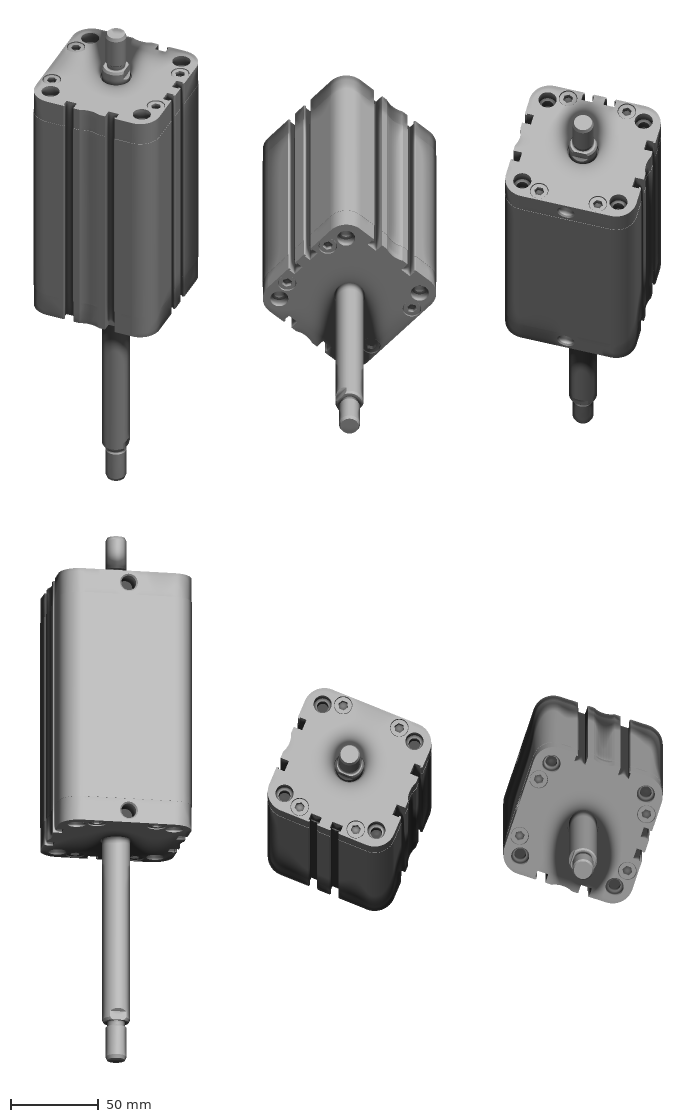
import cadquery as cq
import math

WIDTH = 77.0
CORNER_RADIUS = 12.0
HOUSING_LENGTH = 149.0
CAP_LENGTH = 14.0
CAP_INSET = 0.15
STROKE = 100.0

SLOT_FLOOR = 33.2
BARREL_END_SLOT_FLOOR = 33.8
SLOT_WIDTH = 6.5
LIP_THICKNESS = 1.25
LIP_OVERHANG = 0.9
LIP_CHAMFER = 0.5
SIDE_SLOT_OFFSET = 13.05
END_SLOT_OFFSET = 6.5
GROOVE_WIDTH = 12.1
GROOVE_DEPTH = 1.35

MOUNT_HOLE_OFFSET = 28.25
MOUNT_BORE_DIAMETER = 10.3
MOUNT_BORE_DEPTH = 6.2
MOUNT_THREAD_DIAMETER = 6.65
MOUNT_THREAD_DEPTH = 12.0
SCREW_X = 32.25
SCREW_Y = 17.25
SCREW_HEAD_DIAMETER = 9.8
SCREW_BORE_DIAMETER = 10.5
SCREW_BORE_DEPTH = 2.0
SCREW_HEAD_RECESS = 0.5
SOCKET_ACROSS_FLATS = 5.0
SOCKET_DEPTH = 3.0
SEAL_DIAMETER = 17.7
SEAL_DEPTH = 2.0
PORT_DIAMETER = 8.57
PORT_MOUTH_DIAMETER = 10.3
PORT_DEPTH = 12.0

ROD_DIAMETER = 16.0
SHOULDER_HEIGHT = 7.75
SHOULDER_CHAMFER_LENGTH = 1.5
SHOULDER_CHAMFER_DEPTH = 0.8
FLATS_WIDTH = 13.0
FLATS_LENGTH = 5.0
THREAD_DIAMETER = 12.0
THREAD_END_LENGTH = 22.25
NECK_DIAMETER = 10.3
RELIEF_LENGTH = 2.4
TIP_CHAMFER_LENGTH = 2.0


def slot_tool(length, depth, lip_on_left, lip_on_right):
    """Undercut slot with its mouth at Y = 0 and its floor on the -Y side, centred on X = 0."""
    lip_inner = SLOT_WIDTH / 2 - LIP_OVERHANG
    lip = (
        cq.Workplane()
        .moveTo(SLOT_WIDTH / 2, 0)
        .lineTo(lip_inner + LIP_CHAMFER, 0)
        .lineTo(lip_inner, -LIP_CHAMFER)
        .lineTo(lip_inner, -LIP_THICKNESS)
        .lineTo(SLOT_WIDTH / 2, -LIP_THICKNESS)
        .close()
        .extrude(length)
    )
    slot = cq.Workplane().center(0, -depth / 2).rect(SLOT_WIDTH, depth).extrude(length)
    if lip_on_left:
        slot = slot.cut(lip.mirror("YZ"))
    if lip_on_right:
        slot = slot.cut(lip)
    return slot


def profile_block(length, inset, end_slot_floor):
    """Slotted housing profile with its outer faces moved in by inset, standing on Z = 0."""
    half_width = WIDTH / 2 - inset
    block = cq.Workplane().rect(2 * half_width, 2 * half_width).extrude(length)
    block = block.edges("|Z").fillet(CORNER_RADIUS - inset)

    groove_radius = (GROOVE_WIDTH**2 / 4 + GROOVE_DEPTH**2) / (2 * GROOVE_DEPTH)
    groove_center_y = half_width - GROOVE_DEPTH + groove_radius
    groove = cq.Workplane().center(0, groove_center_y).circle(groove_radius).extrude(length)
    side_slot_depth = half_width - SLOT_FLOOR
    left_slot = slot_tool(length, side_slot_depth, True, False)
    left_slot = left_slot.translate((-SIDE_SLOT_OFFSET, half_width, 0))
    right_slot = left_slot.mirror("YZ")
    for cutter in (groove, left_slot, right_slot):
        block = block.cut(cutter).cut(cutter.mirror("XZ"))

    end_slot = slot_tool(length, half_width - end_slot_floor, True, True)
    end_slot = end_slot.rotate((0, 0, 0), (0, 0, 1), -90)
    for slot_y in (-END_SLOT_OFFSET, END_SLOT_OFFSET):
        block = block.cut(end_slot.translate((half_width, slot_y, 0)))
    return block


def make_end_cap():
    """End cap with its outer face up, at Z = CAP_LENGTH."""
    cap = profile_block(CAP_LENGTH, CAP_INSET, SLOT_FLOOR).faces(">Z").workplane(origin=(0, 0, CAP_LENGTH))
    cap = cap.cboreHole(ROD_DIAMETER, SEAL_DIAMETER, SEAL_DEPTH)

    cap = cap.faces(">Z").workplane(origin=(0, 0, CAP_LENGTH))
    cap = cap.rect(2 * MOUNT_HOLE_OFFSET, 2 * MOUNT_HOLE_OFFSET, forConstruction=True).vertices()
    cap = cap.cboreHole(MOUNT_THREAD_DIAMETER, MOUNT_BORE_DIAMETER, MOUNT_BORE_DEPTH, MOUNT_THREAD_DEPTH)

    head_z = CAP_LENGTH - SCREW_HEAD_RECESS
    socket_corners = SOCKET_ACROSS_FLATS / math.cos(math.pi / 6)
    for side_x, turn in ((-SCREW_X, 90), (SCREW_X, 0)):
        for screw_y in (-SCREW_Y, SCREW_Y):
            bore = cq.Workplane().circle(SCREW_BORE_DIAMETER / 2).extrude(SCREW_HEAD_RECESS)
            gap = cq.Workplane().circle(SCREW_BORE_DIAMETER / 2).circle(SCREW_HEAD_DIAMETER / 2)
            gap = gap.extrude(SCREW_HEAD_RECESS - SCREW_BORE_DEPTH)
            socket = cq.Workplane().polygon(6, socket_corners).extrude(-SOCKET_DEPTH)
            socket = socket.rotate((0, 0, 0), (0, 0, 1), turn)
            cap = cap.cut(bore.union(gap).union(socket).translate((side_x, screw_y, head_z)))
    return cap.cut(port_tool())


def port_tool():
    """Blind air port in the -X face with a 45 degree countersunk mouth."""
    mouth_radius = PORT_MOUTH_DIAMETER / 2
    port_radius = PORT_DIAMETER / 2
    face_plane = cq.Workplane("YZ", origin=(CAP_INSET - WIDTH / 2, 0, CAP_LENGTH / 2))
    bore = face_plane.circle(port_radius).extrude(PORT_DEPTH)
    mouth = face_plane.circle(mouth_radius).workplane(offset=mouth_radius - port_radius)
    return bore.union(mouth.circle(port_radius).loft())


def make_barrel():
    """Middle of the housing, between the two caps."""
    barrel = profile_block(HOUSING_LENGTH - 2 * CAP_LENGTH, 0, BARREL_END_SLOT_FLOOR)
    barrel = barrel.faces(">Z").workplane(origin=(0, 0, 0)).hole(ROD_DIAMETER)
    return barrel.translate((0, 0, CAP_LENGTH))


def rod_half(shoulder_z):
    """One half of the rod from Z = 0 up to its threaded end; the shoulder lies at shoulder_z."""
    rod_radius = ROD_DIAMETER / 2
    shoulder_radius = rod_radius - SHOULDER_CHAMFER_DEPTH
    thread_radius = THREAD_DIAMETER / 2
    neck_radius = NECK_DIAMETER / 2
    neck_top = shoulder_z + RELIEF_LENGTH
    tip_z = shoulder_z + THREAD_END_LENGTH
    half = (
        cq.Workplane("XZ")
        .lineTo(rod_radius, 0)
        .lineTo(rod_radius, shoulder_z - SHOULDER_CHAMFER_LENGTH)
        .lineTo(shoulder_radius, shoulder_z)
        .lineTo(neck_radius, shoulder_z)
        .lineTo(neck_radius, neck_top)
        .lineTo(thread_radius, neck_top + thread_radius - neck_radius)
        .lineTo(thread_radius, tip_z - TIP_CHAMFER_LENGTH)
        .lineTo(neck_radius, tip_z)
        .lineTo(0, tip_z)
        .close()
        .revolve(360, (0, 0, 0), (0, 1, 0))
    )

    flat_x = FLATS_WIDTH / 2
    flat_z = shoulder_z - FLATS_LENGTH
    flat_cut = (
        cq.Workplane("XZ")
        .moveTo(flat_x, shoulder_z)
        .lineTo(flat_x, flat_z)
        .lineTo(rod_radius, flat_z - (rod_radius - flat_x))
        .lineTo(rod_radius, shoulder_z)
        .close()
        .extrude(rod_radius, both=True)
    )
    return half.cut(flat_cut).cut(flat_cut.mirror("YZ"))


def make_rod():
    """Through piston rod with a threaded end above and below the housing."""
    middle_z = HOUSING_LENGTH / 2
    upper = rod_half(middle_z + SHOULDER_HEIGHT)
    lower = rod_half(middle_z + SHOULDER_HEIGHT + STROKE).mirror("XY")
    return upper.union(lower).translate((0, 0, middle_z))


barrel = make_barrel()
end_cap = make_end_cap()
upper_cap = end_cap.translate((0, 0, HOUSING_LENGTH - CAP_LENGTH))
lower_cap = end_cap.mirror("XY").translate((0, 0, CAP_LENGTH))
piston_rod = make_rod()

result = cq.Compound.makeCompound([barrel.val(), upper_cap.val(), lower_cap.val(), piston_rod.val()])